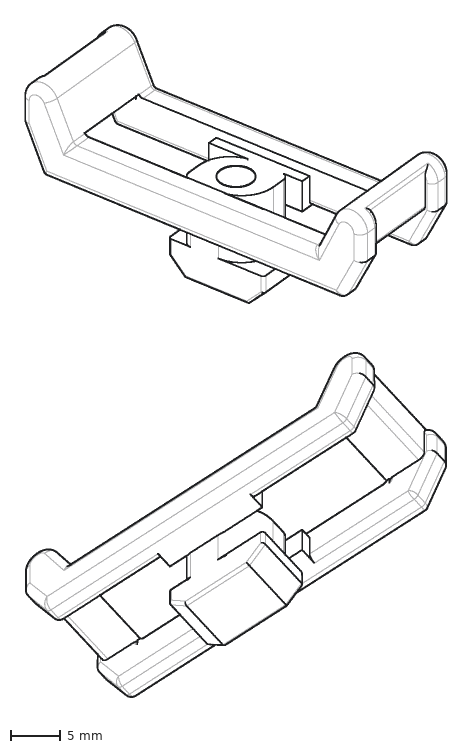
import cadquery as cq
import math

LENGTH = 43.25
WIDTH = 15.0
FRAME_HEIGHT = 10.65
RAIL_HEIGHT = 4.75
RAIL_WIDTH = 3.0
BASE_LENGTH = 38.05
LEFT_SLOPE_TOP = 5.65
RIGHT_SLOPE_TOP = 5.25
ARM_ANGLE = 65.0
TIP_RADIUS = 2.0
CORNER_RADIUS = 0.5
OUTER_FILLET = 1.0
INNER_FILLET = 0.8

PANEL_INSET = 1.0
PANEL_BOTTOM = 5.05
PANEL_TOP_FILLET = 0.45
PANEL_BOTTOM_FILLET = 0.75

FOOT_WIDTH = 6.7
HEAD_LENGTH = 12.1
HEAD_TOP = -4.4
HEAD_BOTTOM = -8.48
HEAD_CHAMFER = 2.05
HEAD_FILLET = 0.35
SHAFT_LENGTH = 8.48
SHAFT_TOP = 3.68
SHAFT_LARGE_RADIUS = 4.0
SHAFT_SMALL_RADIUS = 1.0
DIMPLE_DIAMETER = 4.0
DIMPLE_DEPTH = 0.1
WEB_LENGTH = 11.85
WEB_OVERLAP = 0.065

half_length = LENGTH / 2
rail_inner = WIDTH / 2 - RAIL_WIDTH
core_half_width = rail_inner + INNER_FILLET

tip_x = half_length - TIP_RADIUS
tip_z = FRAME_HEIGHT - TIP_RADIUS
arm_angle = math.radians(ARM_ANGLE)
tangent_x = tip_x - TIP_RADIUS * math.sin(arm_angle)
tangent_z = tip_z + TIP_RADIUS * math.cos(arm_angle)
rail_end_x = tangent_x - (tangent_z - RAIL_HEIGHT) / math.tan(arm_angle)


def block(x_min, x_max, y_min, y_max, z_min, z_max):
    size = (x_max - x_min, y_max - y_min, z_max - z_min)
    return cq.Workplane("XY").box(*size, centered=False).translate((x_min, y_min, z_min))


def frame_prism(y_min, y_max):
    """Solid cradle outline between two Y positions, sharp except at its tips."""
    half_base = BASE_LENGTH / 2
    mid_angle = (math.pi / 2 - arm_angle) / 2
    mid_x = tip_x - TIP_RADIUS * math.sin(mid_angle)
    mid_z = tip_z + TIP_RADIUS * math.cos(mid_angle)
    outline = (
        cq.Workplane("XZ", origin=(0, y_max, 0))
        .moveTo(-half_base, 0)
        .lineTo(half_base, 0)
        .lineTo(half_length, RIGHT_SLOPE_TOP)
        .lineTo(half_length, tip_z)
        .threePointArc((mid_x, mid_z), (tangent_x, tangent_z))
        .lineTo(rail_end_x, RAIL_HEIGHT)
        .lineTo(-rail_end_x, RAIL_HEIGHT)
        .lineTo(-tangent_x, tangent_z)
        .threePointArc((-mid_x, mid_z), (-half_length, tip_z))
        .lineTo(-half_length, LEFT_SLOPE_TOP)
        .close()
    )
    return outline.extrude(y_max - y_min)


def round_corners(body, y):
    """Round the corners at the ends of the rails; their straight edges pass through the given Y."""
    for x, z in ((rail_end_x, RAIL_HEIGHT), (BASE_LENGTH / 2, 0)):
        for side in (-1, 1):
            near = cq.selectors.NearestToPointSelector((side * x, y, z))
            body = body.edges("|Y").edges(near).fillet(CORNER_RADIUS)
    return body


def side_frame():
    """Side frame on the +Y side, rounded along both faces."""
    frame = frame_prism(rail_inner, WIDTH / 2)
    frame = frame.faces(">Y").edges().fillet(OUTER_FILLET)
    frame = round_corners(frame, WIDTH / 2 - RAIL_WIDTH / 2)
    return frame.faces("<Y").edges().fillet(INNER_FILLET)


def core():
    """End panels, and the square upper inner edges of the rails."""
    y = core_half_width
    panel_x = half_length - PANEL_INSET
    body = round_corners(frame_prism(-y, y), 0)
    outside = block(panel_x, half_length, -y, y, 0, FRAME_HEIGHT)
    below = block(rail_end_x + CORNER_RADIUS, half_length, -y, y, 0, PANEL_BOTTOM)
    cutter = outside.union(below)
    body = body.cut(cutter).cut(cutter.mirror("YZ"))
    body = body.cut(block(-half_length, half_length, -y, y, 0, INNER_FILLET))
    body = body.cut(block(-half_length, half_length, -rail_inner, rail_inner, 0, PANEL_BOTTOM))
    for end in ("<X", ">X"):
        body = body.faces(end).edges(">Z").fillet(PANEL_TOP_FILLET)
        body = body.faces(end).edges("<Z").fillet(PANEL_BOTTOM_FILLET)
    return body


def web():
    """Thin wall joining the shaft to the rail on the +Y side."""
    half_web = WEB_LENGTH / 2
    y_min = FOOT_WIDTH / 2 - WEB_OVERLAP
    return block(-half_web, half_web, y_min, core_half_width, 0, SHAFT_TOP)


def shaft():
    """Shaft with two large and two small corner radii, diagonally opposed."""
    base = cq.Workplane("XY", origin=(0, 0, HEAD_TOP))
    body = base.rect(SHAFT_LENGTH, FOOT_WIDTH).extrude(SHAFT_TOP - HEAD_TOP)
    for x_side in (-1, 1):
        for y_side in (-1, 1):
            radius = SHAFT_SMALL_RADIUS if x_side == y_side else SHAFT_LARGE_RADIUS
            corner = (x_side * SHAFT_LENGTH / 2, y_side * FOOT_WIDTH / 2, (SHAFT_TOP + HEAD_TOP) / 2)
            near = cq.selectors.NearestToPointSelector(corner)
            body = body.edges("|Z").edges(near).fillet(radius)
    return body.faces(">Z").workplane(origin=(0, 0, 0)).hole(DIMPLE_DIAMETER, DIMPLE_DEPTH)


def head():
    """T-shaped head with chamfered lower corners."""
    half = HEAD_LENGTH / 2
    body = block(-half, half, -FOOT_WIDTH / 2, FOOT_WIDTH / 2, HEAD_BOTTOM, HEAD_TOP)
    body = body.faces("<Z").edges("|Y").chamfer(HEAD_CHAMFER)
    return body.faces("<Y or >Y").edges("not(>Z)").fillet(HEAD_FILLET)


result = core().union(shaft()).union(head())
for part in (side_frame(), web()):
    result = result.union(part).union(part.mirror("XZ"))